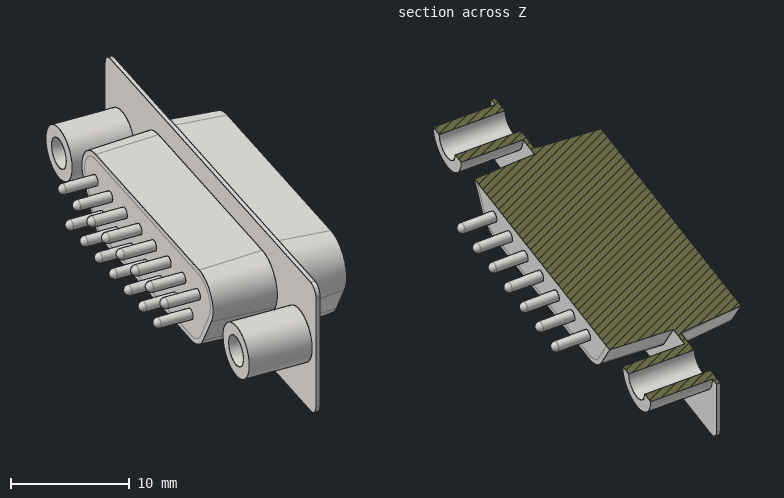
import cadquery as cq
import math

FLANGE_WIDTH = 40.0
FLANGE_HEIGHT = 13.0
FLANGE_THICKNESS = 0.4
FLANGE_CORNER_RADIUS = 1.0

POST_SPACING = 33.6
POST_DIAMETER = 5.0
BORE_DIAMETER = 2.8

CORNER_SPACING_UPPER = 19.65
CORNER_SPACING_Z = 2.8
SIDE_SLOPE = 29.0
CORNER_SPACING_LOWER = CORNER_SPACING_UPPER - 2 * CORNER_SPACING_Z * math.tan(math.radians(SIDE_SLOPE))

FRONT_LENGTH = 5.9
FRONT_BASE_RADIUS = 2.87
FRONT_TIP_RADIUS = 2.6
BACK_LENGTH = 6.06
BACK_BASE_RADIUS = 3.48
BACK_TIP_RADIUS = 2.97

RIM_WIDTH = 0.5
INSERT_RADIUS = FRONT_TIP_RADIUS - RIM_WIDTH

PIN_DIAMETER = 1.0
PIN_PROJECTION = 3.5
PIN_PITCH = 2.77
PIN_ROW_SPACING = 2.8
PIN_CENTER_X = -0.16
UPPER_PIN_COUNT = 8
LOWER_PIN_COUNT = 7


def plane_at(y):
    """Plane parallel to the flange, with its normal toward -Y."""
    return cq.Plane(origin=(0, y, 0), xDir=(1, 0, 0), normal=(0, -1, 0))


def d_outline(y, radius):
    """Closed D-shaped wire at depth y with the given corner radius."""
    upper_x = CORNER_SPACING_UPPER / 2
    lower_x = CORNER_SPACING_LOWER / 2
    center_z = CORNER_SPACING_Z / 2

    def on_arc(center_x, z, degrees):
        angle = math.radians(degrees)
        return (center_x + radius * math.cos(angle), z + radius * math.sin(angle))

    upper_mid = (90 - SIDE_SLOPE) / 2
    lower_mid = -(90 + SIDE_SLOPE) / 2
    return (
        cq.Workplane(plane_at(y))
        .moveTo(-upper_x, center_z + radius)
        .lineTo(upper_x, center_z + radius)
        .threePointArc(on_arc(upper_x, center_z, upper_mid), on_arc(upper_x, center_z, -SIDE_SLOPE))
        .lineTo(*on_arc(lower_x, -center_z, -SIDE_SLOPE))
        .threePointArc(on_arc(lower_x, -center_z, lower_mid), (lower_x, -center_z - radius))
        .lineTo(-lower_x, -center_z - radius)
        .threePointArc(
            on_arc(-lower_x, -center_z, 180 - lower_mid),
            on_arc(-lower_x, -center_z, 180 + SIDE_SLOPE),
        )
        .lineTo(*on_arc(-upper_x, center_z, 180 + SIDE_SLOPE))
        .threePointArc(on_arc(-upper_x, center_z, 180 - upper_mid), (-upper_x, center_z + radius))
        .close()
    )


def tapered_shell(base_y, base_radius, tip_y, tip_radius):
    """Solid D-shaped block narrowing from its base to its tip."""
    base = d_outline(base_y, base_radius).wires().val()
    tip = d_outline(tip_y, tip_radius).wires().val()
    return cq.Workplane(cq.Solid.makeLoft([base, tip], True))


def flange():
    """Flat plate with rounded corners."""
    return (
        cq.Workplane(plane_at(0))
        .rect(FLANGE_WIDTH, FLANGE_HEIGHT)
        .extrude(-FLANGE_THICKNESS)
        .edges("|Y")
        .fillet(FLANGE_CORNER_RADIUS)
    )


def at_posts(y):
    """Workplane at depth y with a point on each post axis."""
    half = POST_SPACING / 2
    return cq.Workplane(plane_at(y)).pushPoints([(-half, 0), (half, 0)])


def pin(x, z):
    """Contact pin with a hemispherical end, standing on the front face of the insert."""
    radius = PIN_DIAMETER / 2
    dome_start = PIN_PROJECTION - radius
    dome_mid = radius * math.sqrt(0.5)
    return (
        cq.Workplane("XY", origin=(x, -FRONT_LENGTH, z))
        .lineTo(radius, 0)
        .lineTo(radius, -dome_start)
        .threePointArc((dome_mid, -dome_start - dome_mid), (0, -PIN_PROJECTION))
        .close()
        .revolve(360, (0, 0), (0, 1))
    )


def pin_row(count, z):
    """Evenly pitched row of pins at height z."""
    first_x = PIN_CENTER_X - (count - 1) * PIN_PITCH / 2
    return [pin(first_x + i * PIN_PITCH, z) for i in range(count)]


back_end_y = FLANGE_THICKNESS + BACK_LENGTH
back_shell = tapered_shell(FLANGE_THICKNESS, BACK_BASE_RADIUS, back_end_y, BACK_TIP_RADIUS)
front_shell = tapered_shell(0, FRONT_BASE_RADIUS, -FRONT_LENGTH, FRONT_TIP_RADIUS)
posts = at_posts(0).circle(POST_DIAMETER / 2).extrude(FRONT_LENGTH)
bores = at_posts(-FRONT_LENGTH).circle(BORE_DIAMETER / 2).extrude(-FRONT_LENGTH - FLANGE_THICKNESS)
insert = d_outline(0, INSERT_RADIUS).extrude(FRONT_LENGTH)
upper_pins = pin_row(UPPER_PIN_COUNT, PIN_ROW_SPACING / 2)
lower_pins = pin_row(LOWER_PIN_COUNT, -PIN_ROW_SPACING / 2)

result = flange().union(back_shell).union(front_shell).union(posts).cut(bores)

result = result.union(insert, clean=False)
for contact_pin in upper_pins + lower_pins:
    result = result.union(contact_pin, clean=False)